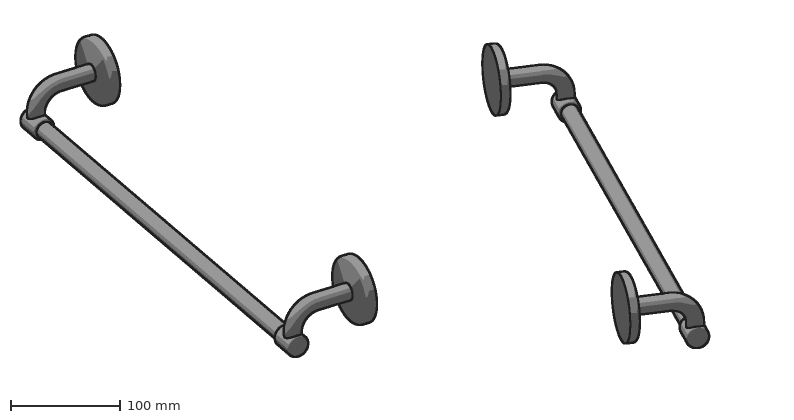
import cadquery as cq

overall_length = 523.0
flange_diameter = 66.0
post_spacing = overall_length - flange_diameter

flange_thickness = 10.0
flange_edge_radius = 3.0
dome_height = 1.5

post_diameter = 17.0
post_straight_end = 46.0
bend_radius = 24.0

bar_diameter = 17.0
bar_drop = 35.5
bar_offset = post_straight_end + bend_radius
sleeve_diameter = 22.0
sleeve_outer_reach = 10.5
sleeve_inner_reach = 15.0
sleeve_edge_radius = 1.5


def make_flange():
    """Round wall plate with a rounded front edge and a shallow domed face."""
    radius = flange_diameter / 2
    face_radius = radius - flange_edge_radius
    plate = (
        cq.Workplane("XZ")
        .circle(radius)
        .extrude(flange_thickness)
        .faces("<Y")
        .edges()
        .fillet(flange_edge_radius)
    )
    sphere_radius = (face_radius**2 + dome_height**2) / (2 * dome_height)
    half_chord = face_radius / 2
    sphere_drop = sphere_radius - (sphere_radius**2 - half_chord**2) ** 0.5
    pole = -flange_thickness - dome_height
    dome = (
        cq.Workplane("XY")
        .moveTo(0, -flange_thickness)
        .lineTo(face_radius, -flange_thickness)
        .threePointArc((half_chord, pole + sphere_drop), (0, pole))
        .close()
        .revolve(360, (0, 0), (0, 1))
    )
    return plate.union(dome)


def make_post():
    """Round post that leaves the wall, bends down and ends on the bar axis."""
    path = (
        cq.Workplane("YZ")
        .lineTo(-post_straight_end, 0)
        .radiusArc((-bar_offset, -bend_radius), -bend_radius)
        .lineTo(-bar_offset, -bar_drop)
    )
    return cq.Workplane("XZ").circle(post_diameter / 2).sweep(path)


def make_sleeve():
    """Sleeve around the bar end, longer on the side facing +X."""
    return (
        cq.Workplane("YZ", origin=(-sleeve_outer_reach, -bar_offset, -bar_drop))
        .circle(sleeve_diameter / 2)
        .extrude(sleeve_outer_reach + sleeve_inner_reach)
        .edges("%CIRCLE")
        .fillet(sleeve_edge_radius)
    )


def make_bar():
    """Straight bar running between the two post axes."""
    return (
        cq.Workplane("YZ", origin=(-post_spacing / 2, -bar_offset, -bar_drop))
        .circle(bar_diameter / 2)
        .extrude(post_spacing)
    )


left_bracket = (
    make_flange()
    .union(make_post())
    .union(make_sleeve())
    .translate((-post_spacing / 2, 0, 0))
)
right_bracket = left_bracket.mirror("YZ")
result = left_bracket.union(make_bar()).union(right_bracket)